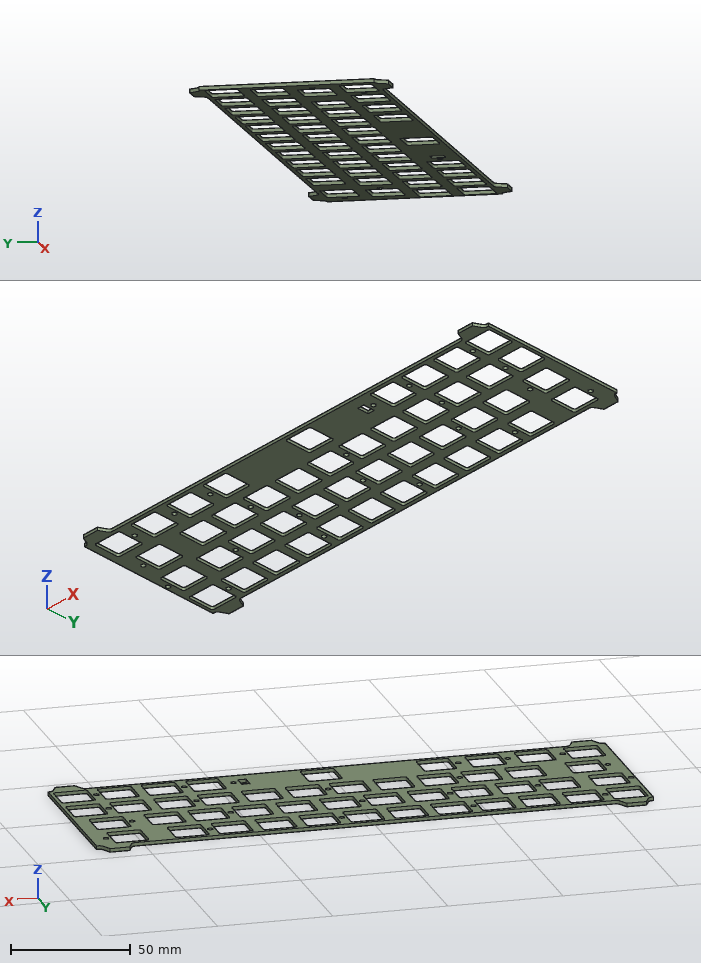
import cadquery as cq

key_pitch = 19.05
row_units = 12.75
row_count = 4
edge_trim = 1.05
thickness = 1.59
plate_length = row_units * key_pitch - edge_trim
plate_width = row_count * key_pitch - edge_trim

tab_height = 5.0
tab_slope_run = tab_height / 2
tab_tip_inset = 4.5
tab_tip_length = 8.5
tab_root_radius = 2.0

switch_length = 14.6
narrow_switch_length = 14.0
switch_width = 14.0
switch_corner_radius = 1.0

key_rows = [
    [1] * 11 + [1.75],
    [1.25] + [1] * 10 + [1.5],
    [1.75] + [1] * 11,
    [1.25, 1, 1.25, 1, 4.25, 1, 1, 1, 1],
]
space_row = 3
space_index = 4

hole_diameter = 2.25
hole_rows = [
    [1, 4, 7, 10, 12.375],
    [0.125, 2.25, 4.25, 6.25, 9.25, 11.5],
    [0.375, 3.75, 6.75, 9.75, 11.75],
    [1.125, 2.375, 3.5, 8.625, 9.75, 11.75],
]

slot_length = 3.5
slot_width = 6.0
slot_units = 8.39


def key_point(units, row):
    """Plate position of a point given in key units along a row."""
    x = (units - row_units / 2) * key_pitch
    y = ((row_count - 1) / 2 - row) * key_pitch
    return (x, y)


def corner_tab():
    """Tab near the -X, +Y corner, reaching into the plate so that the two overlap."""
    root = plate_width / 2
    tip = root + tab_height
    buried = root - tab_height
    tip_start = -plate_length / 2 + tab_tip_inset
    tip_end = tip_start + tab_tip_length
    root_start = tip_start - tab_slope_run
    root_end = tip_end + tab_slope_run
    outline = [
        (root_start, buried),
        (root_start, root),
        (tip_start, tip),
        (tip_end, tip),
        (root_end, root),
        (root_end, buried),
    ]
    return cq.Workplane("XY").polyline(outline).close().extrude(thickness)


def round_tab_roots(plate):
    """Fillet the inside corners where the tabs meet the long edges."""
    outer_root = plate_length / 2 - tab_tip_inset + tab_slope_run
    inner_root = plate_length / 2 - tab_tip_inset - tab_tip_length - tab_slope_run
    root_points = [
        (x_side * x, y_side * plate_width / 2, thickness / 2)
        for x in (outer_root, inner_root)
        for x_side in (-1, 1)
        for y_side in (-1, 1)
    ]
    for point in root_points:
        root_edge = plate.edges(cq.selectors.NearestToPointSelector(point))
        plate = root_edge.fillet(tab_root_radius)
    return plate


def blank_plate():
    """Solid plate with a tab at each of its four corners."""
    plate = cq.Workplane("XY").rect(plate_length, plate_width).extrude(thickness)
    tab = corner_tab()
    upper_tabs = tab.union(tab.mirror("YZ"))
    plate = plate.union(upper_tabs).union(upper_tabs.mirror("XZ"))
    return round_tab_roots(plate)


def switch_centers():
    """Centres of the standard and of the narrow switch openings."""
    standard = []
    narrow = []
    for row, widths in enumerate(key_rows):
        start = 0
        for index, width in enumerate(widths):
            center = key_point(start + width / 2, row)
            beside_space = row == space_row and abs(index - space_index) == 1
            if beside_space:
                narrow.append(center)
            else:
                standard.append(center)
            start += width
    return standard, narrow


def switch_cutters(centers, length):
    """Rounded rectangular cutters for switch openings of one length."""
    blocks = cq.Workplane("XY").pushPoints(centers).rect(length, switch_width).extrude(thickness)
    return blocks.edges("|Z").fillet(switch_corner_radius)


def hole_cutters():
    """Cutters for the round holes."""
    centers = [key_point(units, row) for row, places in enumerate(hole_rows) for units in places]
    return cq.Workplane("XY").pushPoints(centers).circle(hole_diameter / 2).extrude(thickness)


def slot_cutter():
    """Cutter for the rectangular slot."""
    center = key_point(slot_units, space_row)
    return cq.Workplane("XY").center(*center).rect(slot_length, slot_width).extrude(thickness)


standard_centers, narrow_centers = switch_centers()
result = (
    blank_plate()
    .cut(switch_cutters(standard_centers, switch_length))
    .cut(switch_cutters(narrow_centers, narrow_switch_length))
    .cut(hole_cutters())
    .cut(slot_cutter())
)